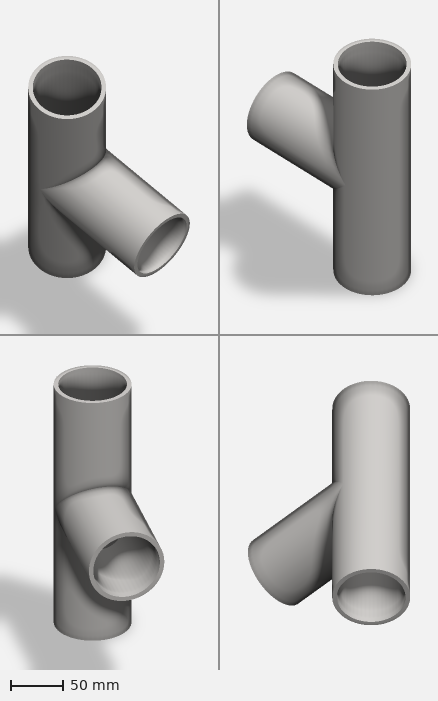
import cadquery as cq

run_length = 261.0
outer_diameter = 75.0
wall = 4.5
overall_width = 167.5

outer_radius = outer_diameter / 2
inner_radius = outer_radius - wall
branch_reach = overall_width - outer_radius


def tee_of_cylinders(radius):
    """Vertical cylinder joined to a +X cylinder that starts on its axis at mid height."""
    run = cq.Workplane("XY").circle(radius).extrude(run_length / 2, both=True)
    branch = cq.Workplane("YZ").circle(radius).extrude(branch_reach)
    return run.union(branch)


result = tee_of_cylinders(outer_radius).cut(tee_of_cylinders(inner_radius))